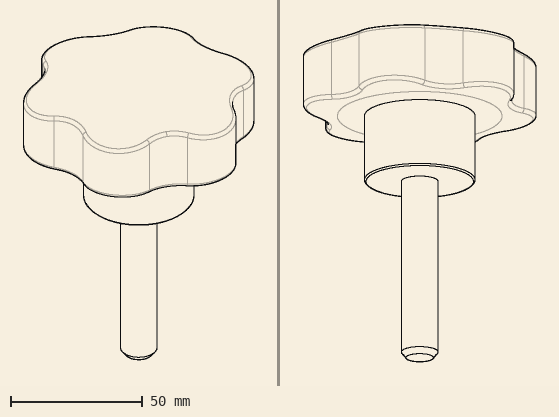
import cadquery as cq
import math

top_z = 125.0
head_bottom_z = 96.0
boss_bottom_z = 70.0

lobe_count = 6
head_radius = 45.0
lobe_radius = 15.0
dome_radius = 156.2
underside_flat_radius = 31.2
underside_curve_radius = 70.0
head_fillet = 1.5
joint_overlap = 1.2
profile_margin = 2.5

boss_diameter = 42.0
boss_edge_chamfer = 0.6
stud_diameter = 14.0
stud_chamfer_height = 2.2
stud_chamfer_width = 1.8


def polar(radius, angle):
    """Point at a distance and angle from the Z axis."""
    return (radius * math.cos(angle), radius * math.sin(angle))


def lobed_outline():
    """Alternating lobe and valley arcs of equal radius, tangent to each other."""
    half_pitch = math.pi / lobe_count
    centre_radius = head_radius - lobe_radius
    half_gap = centre_radius * math.sin(half_pitch)
    valley_centre_radius = centre_radius * math.cos(half_pitch) + math.sqrt(
        (2 * lobe_radius) ** 2 - half_gap**2
    )
    valley_floor_radius = valley_centre_radius - lobe_radius

    def joint(lobe_angle, side):
        """Point halfway between a lobe centre and the valley centre beside it."""
        lobe_x, lobe_y = polar(centre_radius, lobe_angle)
        valley_x, valley_y = polar(valley_centre_radius, lobe_angle + side * half_pitch)
        return ((lobe_x + valley_x) / 2, (lobe_y + valley_y) / 2)

    first_angle = math.pi / 2
    outline = cq.Workplane("XY").workplane(offset=boss_bottom_z).moveTo(*joint(first_angle, -1))
    for index in range(lobe_count):
        angle = first_angle + 2 * half_pitch * index
        next_angle = angle + 2 * half_pitch
        outline = outline.threePointArc(polar(head_radius, angle), joint(angle, 1))
        outline = outline.threePointArc(
            polar(valley_floor_radius, angle + half_pitch), joint(next_angle, -1)
        )
    return outline.close()


def head_envelope():
    """Revolved body with a spherical top and an upswept underside rim."""
    rim_radius = head_radius + profile_margin

    def dome_z(radius):
        return top_z - dome_radius + math.sqrt(dome_radius**2 - radius**2)

    def underside_z(radius):
        run = radius - underside_flat_radius
        return head_bottom_z + underside_curve_radius - math.sqrt(underside_curve_radius**2 - run**2)

    underside_mid_radius = (underside_flat_radius + rim_radius) / 2
    dome_mid_radius = rim_radius / 2
    return (
        cq.Workplane("XZ")
        .moveTo(0, head_bottom_z)
        .lineTo(underside_flat_radius, head_bottom_z)
        .threePointArc(
            (underside_mid_radius, underside_z(underside_mid_radius)),
            (rim_radius, underside_z(rim_radius)),
        )
        .lineTo(rim_radius, dome_z(rim_radius))
        .threePointArc((dome_mid_radius, dome_z(dome_mid_radius)), (0, top_z))
        .close()
        .revolve(360, (0, 0), (0, 1))
    )


def lobed_head():
    """Lobed prism trimmed by the dome and underside, with rounded rims."""
    prism = lobed_outline().extrude(top_z - boss_bottom_z)
    head = prism.intersect(head_envelope())
    rim_edges = head.faces("%CYLINDER").edges("not |Z")
    return rim_edges.fillet(head_fillet)


def boss():
    """Hub under the head, chamfered at its lower edge."""
    return (
        cq.Workplane("XY")
        .workplane(offset=boss_bottom_z)
        .circle(boss_diameter / 2)
        .extrude(head_bottom_z + joint_overlap - boss_bottom_z)
        .faces("<Z")
        .edges()
        .chamfer(boss_edge_chamfer)
    )


def stud():
    """Plain stud with a conical lead-in at its tip."""
    radius = stud_diameter / 2
    return (
        cq.Workplane("XZ")
        .lineTo(radius - stud_chamfer_width, 0)
        .lineTo(radius, stud_chamfer_height)
        .lineTo(radius, boss_bottom_z + joint_overlap)
        .lineTo(0, boss_bottom_z + joint_overlap)
        .close()
        .revolve(360, (0, 0), (0, 1))
    )


result = lobed_head().union(boss()).union(stud())